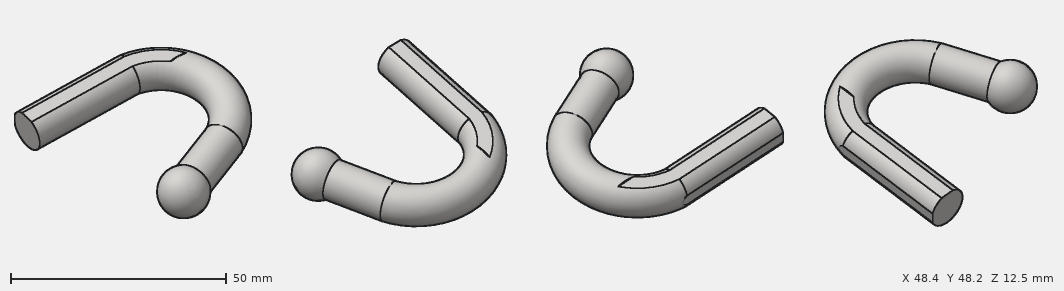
import cadquery as cq
import math

rod_radius = 5.0
bend_radius = 16.05
bend_center_x = 15.85
bend_center_y = 27.12
bend_end_angle = 27.8

side_flat_offset = 4.75
top_flat_offset = 4.65
top_flat_end_x = 5.9

overall_length = 48.35
ball_diameter = 12.5
ball_radius = ball_diameter / 2
ball_x = overall_length - side_flat_offset - ball_radius
ball_y = 17.5

cutter_size = 72.52


def bend_point(angle):
    """Point on the bend axis at an angle in degrees from +X."""
    return (
        bend_center_x + bend_radius * math.cos(math.radians(angle)),
        bend_center_y + bend_radius * math.sin(math.radians(angle)),
    )


bend_start_angle = math.degrees(math.acos(-bend_center_x / bend_radius))
start_x, start_y = bend_point(bend_start_angle)
end_x, end_y = bend_point(bend_end_angle)

leg_heading = 90.0
arm_heading = math.degrees(math.atan2(ball_y - end_y, ball_x - end_x))
arm_length = math.hypot(ball_x - end_x, ball_y - end_y)

start_mitre_heading = (leg_heading + bend_start_angle - 90) / 2
end_mitre_heading = (bend_end_angle - 90 + arm_heading) / 2


def half_space(x, y, heading):
    """Block on the far side of an upright plane through (x, y), square to the heading."""
    block = cq.Workplane("XY").box(cutter_size, 2 * cutter_size, cutter_size)
    block = block.translate((cutter_size / 2, 0, 0))
    return block.rotate((0, 0, 0), (0, 0, 1), heading).translate((x, y, 0))


after_start = half_space(start_x, start_y, start_mitre_heading)
after_end = half_space(end_x, end_y, end_mitre_heading)


def make_leg():
    """Round leg, run past the first joint and mitred there."""
    leg = cq.Workplane("XZ").circle(rod_radius).extrude(-(start_y + rod_radius))
    return leg.cut(after_start)


def make_bend():
    """Full ring, kept only between the two mitre planes."""
    ring = cq.Solid.makeTorus(bend_radius, rod_radius)
    ring = cq.Workplane(ring).translate((bend_center_x, bend_center_y, 0))
    return ring.intersect(after_start).cut(after_end)


def make_arm():
    """Round arm ending at the ball center, started early and mitred at the second joint."""
    arm = cq.Workplane("YZ", origin=(-rod_radius, 0, 0)).circle(rod_radius)
    arm = arm.extrude(arm_length + rod_radius)
    arm = arm.rotate((0, 0, 0), (0, 0, 1), arm_heading).translate((end_x, end_y, 0))
    return arm.intersect(after_end)


def make_ball():
    return cq.Workplane("XY").sphere(ball_radius).translate((ball_x, ball_y, 0))


def make_side_cutter():
    """Block that leaves the flat on the -X side of the leg."""
    return half_space(-side_flat_offset, 0, 180)


def make_top_cutter():
    """Block that leaves the flat on top of the leg and the start of the bend."""
    return half_space(top_flat_end_x, 0, 180).translate((0, 0, top_flat_offset + cutter_size / 2))


rod = make_leg().union(make_bend()).union(make_arm()).union(make_ball())
result = rod.cut(make_side_cutter()).cut(make_top_cutter())